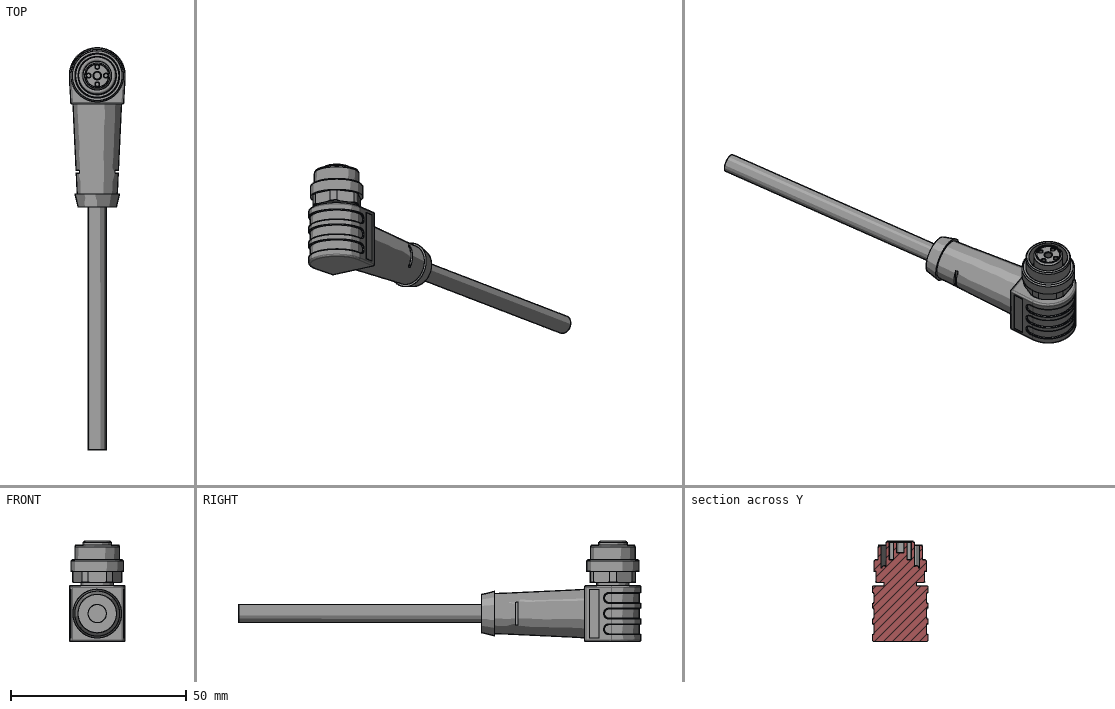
import cadquery as cq
import math


BODY_RADIUS = 7.985
BODY_HEIGHT = 16.0
BODY_FRONT_Y = -8.15
BODY_SIDE_TAPER = 3.2
BODY_EDGE_FILLET = 0.5

GRIP_DEPTH = 0.4
GRIP_HEIGHT = 3.1
GRIP_PITCH = 4.45
GRIP_COUNT = 3
GRIP_FRONT_Y = -2.65
GRIP_CHAMFER = 0.25

LABEL_FRONT_Y = -6.7
LABEL_REAR_Y = -3.9
LABEL_HEIGHT = 13.8
LABEL_DEPTH = 0.15

CABLE_Z = BODY_HEIGHT / 2
CABLE_DIAMETER = 5.2
OVERALL_LENGTH = 114.67
CABLE_END_Y = BODY_RADIUS - OVERALL_LENGTH
SLEEVE_BASE_DIAMETER = 13.9
SLEEVE_TIP_DIAMETER = 11.5
COLLAR_DIAMETER = 12.8
COLLAR_TIP_DIAMETER = 10.95
COLLAR_Y = -33.7
COLLAR_END_Y = -37.5
NOTCH_Y = -27.4
NOTCH_WIDTH = 0.8
NOTCH_FLOOR_X = 5.1

TOP_Z = 28.7
NECK_DIAMETER = 9.3
HEX_Z = 16.8
HEX_ACROSS_FLATS = 13.0
HEX_CORNER_DIAMETER = 14.0
HEX_CHAMFER = 0.25
HEX_TURN = 30.0
RING_Z = 20.0
RING_TOP_Z = 23.4
RING_DIAMETER = 15.0
RING_CHAMFER = 0.4
NUT_TOP_Z = 27.5
NUT_DIAMETER = 12.8
NUT_RIM_DIAMETER = 12.3
NUT_RIM_CHAMFER_HEIGHT = 0.5
NUT_BORE_DIAMETER = 10.95
NUT_FLOOR_Z = 21.0

SEAL_MEAN_DIAMETER = 9.3
SEAL_THICKNESS = 1.3

INSERT_DIAMETER = 8.2
INSERT_CHAMFER = 0.5
CONTACT_FACE_DIAMETER = 6.5
CONTACT_FACE_RECESS = 0.3
CONTACT_FACE_Z = TOP_Z - CONTACT_FACE_RECESS
KEYWAY_ANGLE = 164.0
KEYWAY_WIDTH = 1.2
KEYWAY_DEPTH = 0.6
KEYWAY_LENGTH = 5.0

CONTACT_COUNT = 4
CONTACT_CIRCLE_RADIUS = 2.5
CONTACT_DIAMETER = 1.15
CONTACT_SINK_DIAMETER = 1.4
CONTACT_DEPTH = 5.0
CENTER_DIAMETER = 2.0
CENTER_SINK_DIAMETER = 2.4
CENTER_DEPTH = 3.0
SINK_ANGLE = 90.0


def cylinder(diameter, bottom, top):
    return cq.Workplane("XY").workplane(offset=bottom).circle(diameter / 2).extrude(top - bottom)


def housing_prism(inset):
    """D-shaped prism: round rear, sides tangent to it and tapering to a flat front."""
    taper = math.radians(BODY_SIDE_TAPER)
    radius = BODY_RADIUS - inset
    tangent_x = radius * math.cos(taper)
    tangent_y = -radius * math.sin(taper)
    front_x = tangent_x - (tangent_y - BODY_FRONT_Y) * math.tan(taper)
    return (
        cq.Workplane("XY")
        .moveTo(front_x, BODY_FRONT_Y)
        .lineTo(tangent_x, tangent_y)
        .threePointArc((0, radius), (-tangent_x, tangent_y))
        .lineTo(-front_x, BODY_FRONT_Y)
        .close()
        .extrude(BODY_HEIGHT)
    )


def grip_cutter():
    """Obround bar wrapped around the rear of the housing, its inner edges chamfered."""
    rear_y = BODY_RADIUS + GRIP_HEIGHT
    bar = (
        cq.Workplane("YZ")
        .center((GRIP_FRONT_Y + rear_y) / 2, BODY_HEIGHT / 2)
        .slot2D(rear_y - GRIP_FRONT_Y, GRIP_HEIGHT)
        .extrude(2 * BODY_RADIUS, both=True)
        .cut(housing_prism(GRIP_DEPTH))
    )
    skin_box = cq.selectors.BoxSelector(
        (-BODY_RADIUS, -BODY_RADIUS, 0),
        (BODY_RADIUS, BODY_RADIUS, BODY_HEIGHT),
    )
    return bar.edges("not |Z").edges(skin_box).chamfer(GRIP_CHAMFER)


def make_housing():
    housing = housing_prism(0).faces("<Y or >Z or <Z").edges().fillet(BODY_EDGE_FILLET)
    cutter = grip_cutter()
    for index in range(GRIP_COUNT):
        offset = (index - (GRIP_COUNT - 1) / 2) * GRIP_PITCH
        housing = housing.cut(cutter.translate((0, 0, offset)))
    label = (
        cq.Workplane("XY")
        .box(4 * BODY_RADIUS, LABEL_REAR_Y - LABEL_FRONT_Y, LABEL_HEIGHT)
        .translate((0, (LABEL_REAR_Y + LABEL_FRONT_Y) / 2, BODY_HEIGHT / 2))
        .cut(housing_prism(LABEL_DEPTH))
    )
    return housing.cut(label)


def make_cable_side():
    """Tapered sleeve, end collar and cable, revolved about the cable axis."""
    profile = [
        (0, BODY_FRONT_Y),
        (SLEEVE_BASE_DIAMETER / 2, BODY_FRONT_Y),
        (SLEEVE_TIP_DIAMETER / 2, COLLAR_Y),
        (COLLAR_DIAMETER / 2, COLLAR_Y),
        (COLLAR_TIP_DIAMETER / 2, COLLAR_END_Y),
        (CABLE_DIAMETER / 2, COLLAR_END_Y),
        (CABLE_DIAMETER / 2, CABLE_END_Y),
        (0, CABLE_END_Y),
    ]
    cable = cq.Workplane("XY").polyline(profile).close().revolve(360, (0, 0), (0, 1))
    for side in (-1, 1):
        notch = cq.Workplane("XY").box(BODY_RADIUS, NOTCH_WIDTH, BODY_HEIGHT)
        cable = cable.cut(notch.translate((side * (NOTCH_FLOOR_X + BODY_RADIUS / 2), NOTCH_Y, 0)))
    return cable.translate((0, 0, CABLE_Z))


def make_nut():
    hexagon = (
        cq.Workplane("XY")
        .workplane(offset=HEX_Z)
        .polygon(6, HEX_ACROSS_FLATS, circumscribed=True)
        .extrude(RING_Z - HEX_Z)
        .rotate((0, 0, 0), (0, 0, 1), HEX_TURN)
    )
    corner_round = cylinder(HEX_CORNER_DIAMETER, HEX_Z, RING_Z).faces("<Z").chamfer(HEX_CHAMFER)
    ring = cylinder(RING_DIAMETER, RING_Z, RING_TOP_Z).faces(">Z").chamfer(RING_CHAMFER)
    rim_chamfer_width = (NUT_DIAMETER - NUT_RIM_DIAMETER) / 2
    barrel = cylinder(NUT_DIAMETER, RING_Z, NUT_TOP_Z)
    barrel = barrel.faces(">Z").chamfer(NUT_RIM_CHAMFER_HEIGHT, rim_chamfer_width)
    nut = hexagon.intersect(corner_round).union(ring).union(barrel)
    nut = nut.cut(cylinder(NUT_BORE_DIAMETER, NUT_FLOOR_Z, NUT_TOP_Z))
    return nut.union(cylinder(NECK_DIAMETER, BODY_HEIGHT, HEX_Z))


def make_seal():
    """O-ring around the insert, half sunk into the floor of the nut bore."""
    return (
        cq.Workplane("XZ")
        .center(SEAL_MEAN_DIAMETER / 2, NUT_FLOOR_Z)
        .circle(SEAL_THICKNESS / 2)
        .revolve(360, (-SEAL_MEAN_DIAMETER / 2, 0), (-SEAL_MEAN_DIAMETER / 2, 1))
    )


def make_insert():
    insert = cylinder(INSERT_DIAMETER, NUT_FLOOR_Z, TOP_Z).faces(">Z").chamfer(INSERT_CHAMFER)
    insert = insert.cut(cylinder(CONTACT_FACE_DIAMETER, CONTACT_FACE_Z, TOP_Z))
    contact_face = insert.copyWorkplane(cq.Workplane("XY", origin=(0, 0, CONTACT_FACE_Z)))
    insert = contact_face.polarArray(CONTACT_CIRCLE_RADIUS, 0, 360, CONTACT_COUNT).cskHole(
        CONTACT_DIAMETER, CONTACT_SINK_DIAMETER, SINK_ANGLE, CONTACT_DEPTH
    )
    insert = insert.copyWorkplane(contact_face).cskHole(
        CENTER_DIAMETER, CENTER_SINK_DIAMETER, SINK_ANGLE, CENTER_DEPTH
    )
    keyway = (
        cq.Workplane("XY")
        .box(2 * KEYWAY_DEPTH, KEYWAY_WIDTH, 2 * KEYWAY_LENGTH)
        .translate((INSERT_DIAMETER / 2, 0, TOP_Z))
        .rotate((0, 0, 0), (0, 0, 1), KEYWAY_ANGLE)
    )
    return insert.cut(keyway)


result = (
    make_housing()
    .union(make_cable_side())
    .union(make_nut())
    .union(make_seal())
    .union(make_insert())
)